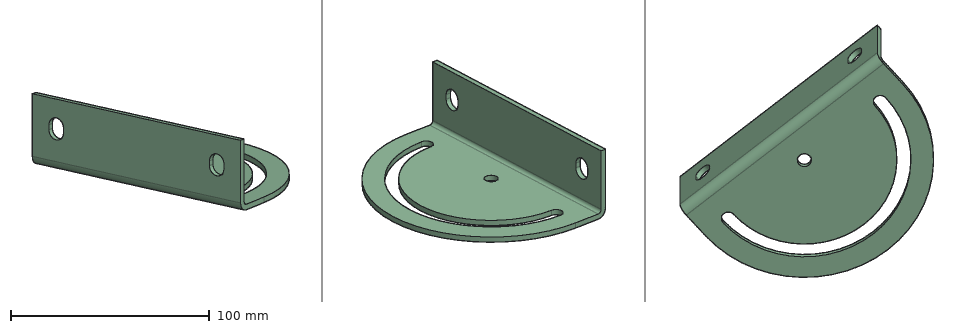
import cadquery as cq

width = 130.0
depth = 85.0
height = 38.0
thickness = 3.0
inner_bend_radius = 2.0
pivot_hole_diameter = 7.0
arc_slot_radius = 50.0
arc_slot_width = 7.0
mount_slot_spacing = 100.1
mount_slot_width = 9.0
mount_slot_height = 11.6
mount_slot_z = 22.2

plate_radius = width / 2
front_y = plate_radius - depth
outer_bend_radius = inner_bend_radius + thickness


def make_bent_sheet():
    """L-shaped sheet, bent along X, with its flange at the front."""
    plate = cq.Workplane("XY").box(width, depth, thickness, centered=(True, False, False))
    flange = cq.Workplane("XY").box(width, thickness, height, centered=(True, False, False))
    sheet = plate.union(flange).translate((0, front_y, 0))
    sheet = sheet.edges(
        cq.selectors.NearestToPointSelector((0, front_y + thickness, thickness))
    ).fillet(inner_bend_radius)
    return sheet.edges(cq.selectors.NearestToPointSelector((0, front_y, 0))).fillet(outer_bend_radius)


def make_rounded_outline():
    """Tall block with straight sides and a semicircular back."""
    return (
        cq.Workplane("XY")
        .moveTo(-plate_radius, front_y)
        .lineTo(plate_radius, front_y)
        .lineTo(plate_radius, 0)
        .threePointArc((0, plate_radius), (-plate_radius, 0))
        .close()
        .extrude(height)
    )


def make_arc_slot():
    """Semicircular slot around the pivot, with round ends."""
    outer = arc_slot_radius + arc_slot_width / 2
    inner = arc_slot_radius - arc_slot_width / 2
    end_depth = -arc_slot_width / 2
    return (
        cq.Workplane("XY")
        .moveTo(-outer, 0)
        .threePointArc((0, outer), (outer, 0))
        .threePointArc((arc_slot_radius, end_depth), (inner, 0))
        .threePointArc((0, inner), (-inner, 0))
        .threePointArc((-arc_slot_radius, end_depth), (-outer, 0))
        .close()
        .extrude(thickness)
    )


def make_mount_slots():
    """Pair of upright slots through the flange."""
    half_spacing = mount_slot_spacing / 2
    return (
        cq.Workplane("XZ", origin=(0, front_y + thickness, 0))
        .pushPoints([(-half_spacing, mount_slot_z), (half_spacing, mount_slot_z)])
        .slot2D(mount_slot_height, mount_slot_width, 90)
        .extrude(thickness)
    )


pivot_hole = cq.Workplane("XY").circle(pivot_hole_diameter / 2).extrude(thickness)

result = (
    make_bent_sheet()
    .intersect(make_rounded_outline())
    .cut(make_arc_slot())
    .cut(pivot_hole)
    .cut(make_mount_slots())
)